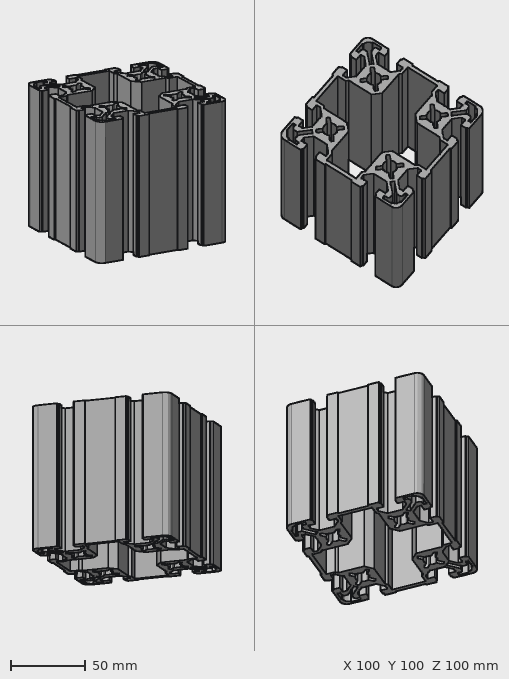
import cadquery as cq
import math

size = 100.0
length = 100.0
half_size = size / 2
slot_center = size / 4
corner_radius = 5.0

mouth_half = 5.1
mouth_face_half = 6.2
mouth_step_half = 5.8
mouth_step_depth = 1.5
mouth_chamfer_depth = 1.9
lip_depth = 6.2
slot_half = 10.2
slot_wall_depth = 9.3
slot_depth = 14.0
slot_floor_half = slot_half - (slot_depth - slot_wall_depth)

core_radius = 4.9
arm_width = 2.8
arm_reach = 9.6

corner_wall = 2.0
corner_step = 0.8
corner_arc_radius = 4.2
corner_hollow_end = 14.1
hook_depth = 4.1
hook_radius = 2.0
hook_end = 10.2
relief_offset = 2.0
relief_end_sum = 33.0

panel_start = 39.0
panel_recess = 1.0
panel_inner_depth = 4.0
slot_wall_thickness = 2.5
arm_wall = slot_center + slot_half + slot_wall_thickness
step_start = 10.4
wall_step = 1.6
core_wall = arm_wall - wall_step
core_chamfer_start = 30.9


def prism(points):
    """Extrude a closed polygon through the full length."""
    return cq.Workplane("XY").polyline(points).close().extrude(length)


def mirror_diagonal(points):
    """Reflect points across the quarter's diagonal, reversed so that outlines stay continuous."""
    return [(y, x) for x, y in reversed(points)]


def swap_axes(cut):
    """Reflect a solid across the quarter's diagonal, from the face at Y = 0 to the one at X = 0."""
    return cut.mirror("YZ").rotate((0, 0, 0), (0, 0, 1), -90)


def t_slot():
    """T-slot opening through the face at Y = 0."""
    half_outline = [
        (mouth_face_half, 0),
        (mouth_step_half, mouth_step_depth),
        (mouth_half, mouth_chamfer_depth),
        (mouth_half, lip_depth),
        (slot_half, lip_depth),
        (slot_half, slot_wall_depth),
        (slot_floor_half, slot_depth),
    ]
    right_side = [(slot_center + x, y) for x, y in half_outline]
    left_side = [(slot_center - x, y) for x, y in reversed(half_outline)]
    return prism(right_side + left_side)


def panel_cut():
    """Shallow recess of the face at Y = 0, up to the middle of the profile."""
    half_width = half_size - panel_start
    recess = cq.Workplane("XY").box(half_width, panel_recess, length, centered=False)
    return recess.translate((panel_start, 0, 0))


def core_hole():
    """Round core hole with four diagonal round-ended arms."""
    hole = cq.Workplane("XY").circle(core_radius).extrude(length)
    for angle in (45, 135):
        hole = hole.union(cq.Workplane("XY").slot2D(2 * arm_reach, arm_width, angle).extrude(length))
    return hole.translate((slot_center, slot_center, 0))


def corner_hollow():
    """Hollow behind the rounded corner, with a diagonal relief running toward the core."""
    arc_depth = corner_wall + corner_step
    arc_center = arc_depth + corner_arc_radius
    arc_middle = arc_center - corner_arc_radius * math.sqrt(0.5)
    hook_center_x = hook_end + hook_radius
    hook_center_y = hook_depth + hook_radius
    hook_middle = (
        hook_center_x - hook_radius * math.sqrt(0.5),
        hook_center_y - hook_radius * math.sqrt(0.5),
    )
    relief_end = ((relief_end_sum + relief_offset) / 2, (relief_end_sum - relief_offset) / 2)
    relief_start = (hook_end, hook_end - relief_offset)
    return (
        cq.Workplane("XY")
        .moveTo(corner_wall, arc_center)
        .lineTo(arc_depth, arc_center)
        .threePointArc((arc_middle, arc_middle), (arc_center, arc_depth))
        .lineTo(arc_center, corner_wall)
        .lineTo(corner_hollow_end, corner_wall)
        .lineTo(corner_hollow_end, hook_depth)
        .lineTo(hook_center_x, hook_depth)
        .threePointArc(hook_middle, (hook_end, hook_center_y))
        .lineTo(*relief_start)
        .lineTo(*relief_end)
        .lineTo(*relief_end[::-1])
        .lineTo(*relief_start[::-1])
        .lineTo(hook_center_y, hook_end)
        .threePointArc(hook_middle[::-1], (hook_depth, hook_center_x))
        .lineTo(hook_depth, corner_hollow_end)
        .lineTo(corner_wall, corner_hollow_end)
        .close()
        .extrude(length)
    )


def center_hollow():
    """This quarter's share of the cross-shaped central hollow."""
    half_outline = [
        (half_size, panel_inner_depth),
        (arm_wall, panel_inner_depth),
        (arm_wall, step_start),
        (core_wall, step_start + wall_step),
        (core_wall, core_chamfer_start),
    ]
    return prism(half_outline + mirror_diagonal(half_outline) + [(half_size, half_size)])


def quarter():
    """One quarter of the profile."""
    body = cq.Workplane("XY").box(half_size, half_size, length, centered=False)
    corner_edge = cq.selectors.NearestToPointSelector((0, 0, length / 2))
    body = body.edges(corner_edge).fillet(corner_radius)
    for face_cut in (t_slot(), panel_cut()):
        body = body.cut(face_cut)
        body = body.cut(swap_axes(face_cut))
    for cut in (core_hole(), corner_hollow(), center_hollow()):
        body = body.cut(cut)
    return body.translate((-half_size, -half_size, 0))


profile_quarter = quarter()
result = profile_quarter
for turn in (90, 180, 270):
    result = result.union(profile_quarter.rotate((0, 0, 0), (0, 0, 1), turn))
result = result.clean()